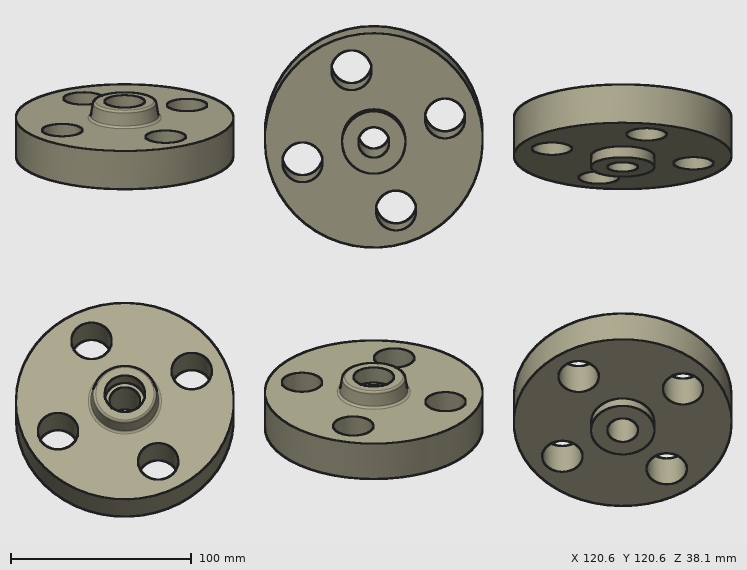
import cadquery as cq
import math

disc_diameter = 120.6
disc_thickness = 22.3

face_diameter = 35.1
face_height = 6.4

hub_base_diameter = 38.0
hub_height = 9.4
hub_draft_angle = 10.0
hub_blend_radius = 1.5

socket_diameter = 22.3
socket_depth = 9.5
bore_diameter = 17.0

bolt_count = 4
bolt_circle_diameter = 82.6
bolt_hole_diameter = 22.3

hub_top = disc_thickness + hub_height


def make_body():
    """Disc, raised face and drafted hub as one revolved solid."""
    hub_base_radius = hub_base_diameter / 2
    hub_top_radius = hub_base_radius - hub_height * math.tan(math.radians(hub_draft_angle))
    return (
        cq.Workplane("XZ")
        .moveTo(0, -face_height)
        .lineTo(face_diameter / 2, -face_height)
        .lineTo(face_diameter / 2, 0)
        .lineTo(disc_diameter / 2, 0)
        .lineTo(disc_diameter / 2, disc_thickness)
        .lineTo(hub_base_radius, disc_thickness)
        .lineTo(hub_top_radius, hub_top)
        .lineTo(0, hub_top)
        .close()
        .revolve(360, (0, 0, 0), (0, 1, 0))
    )


def blend_hub(body):
    """Round the hub rim and blend the hub base into the disc with the same radius."""
    return body.faces("%CONE").edges("%CIRCLE").fillet(hub_blend_radius)


def cut_socket_and_bore(body):
    """Stepped centre hole: a blind socket from the hub top over a through bore."""
    return (
        body.faces(">Z")
        .workplane()
        .cboreHole(bore_diameter, socket_diameter, socket_depth)
    )


def cut_bolt_holes(body):
    """Evenly spaced through holes around the bolt circle."""
    holes = (
        cq.Workplane("XY")
        .polarArray(bolt_circle_diameter / 2, 0, 360, bolt_count)
        .circle(bolt_hole_diameter / 2)
        .extrude(disc_thickness)
    )
    return body.cut(holes)


body = make_body()
body = blend_hub(body)
body = cut_socket_and_bore(body)
result = cut_bolt_holes(body)